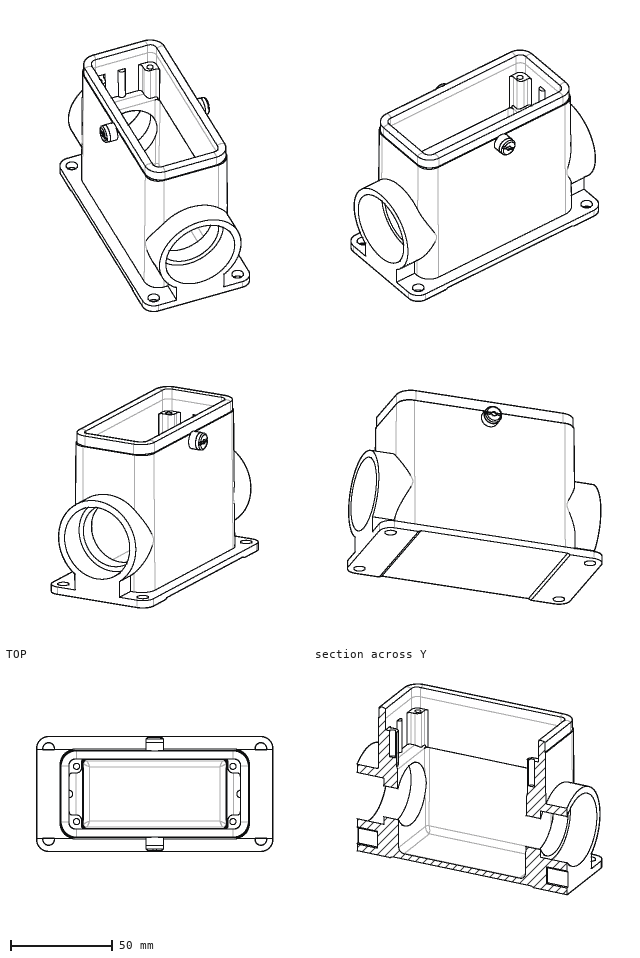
import cadquery as cq
import math

PLATE_LENGTH = 117.0
PLATE_WIDTH = 57.0
PLATE_THICKNESS = 3.9
PLATE_CORNER_RADIUS = 6.0
SCREW_HOLE_DIAMETER = 5.6
RELIEF_DEPTH = 0.7
RELIEF_LENGTH = 77.2
RELIEF_RAMP = 1.4

HOUSING_LENGTH = 94.4
HOUSING_WIDTH = 44.5
HOUSING_CORNER_RADIUS = 7.6
DRAFT_ANGLE = 0.5
SHOULDER_HEIGHT = 75.1
TOTAL_HEIGHT = 80.8
RIM_STEP = 0.5
RIM_CROWN = 0.7

OPENING_LENGTH = 85.1
OPENING_WIDTH = 34.7
OPENING_CORNER_RADIUS = 3.4
LEDGE_HEIGHT = 51.8
POCKET_LENGTH = 70.2
POCKET_WIDTH = 32.6
POCKET_DRAFT = 1.0
POCKET_CORNER_RADIUS = 1.2
POCKET_FILLET = 2.9
LEDGE_FILLET = 3.0
POCKET_FLOOR = PLATE_THICKNESS
POCKET_TOP = LEDGE_HEIGHT - LEDGE_FILLET

POST_TOP = 68.9
POST_X = 38.7
POST_Y = 13.7
POST_INNER_X = 36.3
POST_INNER_Y = 10.4
POST_CORNER_RADIUS = 2.5
POST_WALL_FILLET = 1.4
POST_WALL_EMBED = 1.4
POST_HOLE_DIAMETER = 3.0
POST_HOLE_DEPTH = 14.0
RIB_RADIUS = 1.9

ENTRY_HEIGHT = 30.0
ENTRY_DIAMETER = 43.9
ENTRY_BORE_DIAMETER = 37.0
ENTRY_BORE_DEPTH = 14.7
ENTRY_THROUGH_DIAMETER = 32.0
PEDESTAL_WIDTH = 25.3

PIN_HEIGHT = 70.9
PIN_DIAMETER = 8.8
PIN_HEAD_DIAMETER = 8.5
PIN_SHANK_REACH = 25.5
PIN_REACH = 28.0
PIN_CHAMFER = 0.7
PIN_SLOT_WIDTH = 1.0
PIN_SLOT_DEPTH = 0.77
PIN_CENTRE_DIAMETER = 2.2
FRONT_SLOT_ANGLE = 0
BACK_SLOT_ANGLE = 30

SIDES = (-1, 1)
CORNERS = [(sx, sy) for sx in SIDES for sy in SIDES]


def rounded_block(length, width, bottom, top, radius, taper=0.0):
    """Upright block centred on Z with rounded corners and an optional draft."""
    outline = cq.Sketch().rect(length, width).vertices().fillet(radius)
    return cq.Workplane("XY").workplane(offset=bottom).placeSketch(outline).extrude(top - bottom, taper=taper)


def mirrored_pair(shape, plane):
    """The shape together with its mirror image."""
    return shape.union(shape.mirror(plane))


def cylinder_x(diameter, start, end):
    """Cylinder on the cable entry axis between two X positions."""
    return (
        cq.Workplane("YZ")
        .workplane(offset=start)
        .center(0, ENTRY_HEIGHT)
        .circle(diameter / 2)
        .extrude(end - start)
    )


def base_plate():
    plate = rounded_block(PLATE_LENGTH, PLATE_WIDTH, 0, PLATE_THICKNESS, PLATE_CORNER_RADIUS)
    hole_x = PLATE_LENGTH / 2 - PLATE_CORNER_RADIUS
    hole_y = PLATE_WIDTH / 2 - PLATE_CORNER_RADIUS
    holes = (
        cq.Workplane("XY")
        .pushPoints([(sx * hole_x, sy * hole_y) for sx, sy in CORNERS])
        .circle(SCREW_HOLE_DIAMETER / 2)
        .extrude(PLATE_THICKNESS)
    )
    half_length = RELIEF_LENGTH / 2
    relief = (
        cq.Workplane("XZ")
        .polyline([
            (-half_length - RELIEF_RAMP, 0),
            (half_length + RELIEF_RAMP, 0),
            (half_length, RELIEF_DEPTH),
            (-half_length, RELIEF_DEPTH),
        ])
        .close()
        .extrude(PLATE_WIDTH / 2, both=True)
    )
    return plate.cut(holes).cut(relief)


def housing():
    """Drafted shell body with a stepped rim whose top is crowned."""
    height = SHOULDER_HEIGHT - PLATE_THICKNESS
    shrink = 2 * height * math.tan(math.radians(DRAFT_ANGLE))
    body = rounded_block(
        HOUSING_LENGTH, HOUSING_WIDTH, PLATE_THICKNESS, SHOULDER_HEIGHT, HOUSING_CORNER_RADIUS, DRAFT_ANGLE
    )
    body = body.faces(">Z").chamfer(RIM_STEP)
    rim_length = HOUSING_LENGTH - shrink - RIM_STEP
    rim_width = HOUSING_WIDTH - shrink - RIM_STEP
    rim = rounded_block(
        rim_length, rim_width, SHOULDER_HEIGHT - RIM_STEP, TOTAL_HEIGHT - RIM_CROWN, HOUSING_CORNER_RADIUS
    )
    return body.union(rim).union(rim_crown(rim_length, rim_width))


def rim_crown(rim_length, rim_width):
    """Low arched bead swept along the middle of the rim."""
    edge_height = TOTAL_HEIGHT - RIM_CROWN
    wall = (rim_width - OPENING_WIDTH) / 2
    middle_y = (rim_width + OPENING_WIDTH) / 4
    path = (
        cq.Workplane("XY")
        .workplane(offset=edge_height)
        .rect(rim_length - wall, 2 * middle_y)
        .extrude(1.2)
        .edges("|Z")
        .fillet(HOUSING_CORNER_RADIUS - wall / 2)
        .faces("<Z")
        .wires()
    )
    return (
        cq.Workplane("YZ")
        .moveTo(middle_y - wall / 2, edge_height)
        .threePointArc((middle_y, TOTAL_HEIGHT), (middle_y + wall / 2, edge_height))
        .close()
        .sweep(path, transition="round")
    )


def pocket():
    """Lower cavity, widening upwards from a rounded floor."""
    walls = rounded_block(
        POCKET_LENGTH, POCKET_WIDTH, POCKET_FLOOR, POCKET_TOP, POCKET_CORNER_RADIUS, -POCKET_DRAFT
    )
    return walls.faces("<Z").edges().fillet(POCKET_FILLET)


def ledge_profile():
    """Prism along Y whose lower flanks curve outwards onto the end ledges."""
    pocket_half = POCKET_LENGTH / 2 + (POCKET_TOP - POCKET_FLOOR) * math.tan(math.radians(POCKET_DRAFT))
    ledge_start = pocket_half + LEDGE_FILLET
    outer = HOUSING_LENGTH / 2
    return (
        cq.Workplane("XZ")
        .moveTo(-pocket_half, POCKET_TOP)
        .lineTo(pocket_half, POCKET_TOP)
        .radiusArc((ledge_start, LEDGE_HEIGHT), LEDGE_FILLET)
        .lineTo(outer, LEDGE_HEIGHT)
        .lineTo(outer, SHOULDER_HEIGHT)
        .lineTo(-outer, SHOULDER_HEIGHT)
        .lineTo(-outer, LEDGE_HEIGHT)
        .lineTo(-ledge_start, LEDGE_HEIGHT)
        .radiusArc((-pocket_half, POCKET_TOP), LEDGE_FILLET)
        .close()
        .extrude(HOUSING_WIDTH / 2, both=True)
    )


def cavity():
    """Straight mouth, drafted upper part ending on the ledges, and the pocket below."""
    mouth = rounded_block(
        OPENING_LENGTH, OPENING_WIDTH, SHOULDER_HEIGHT, TOTAL_HEIGHT, OPENING_CORNER_RADIUS
    )
    drafted = rounded_block(
        OPENING_LENGTH, OPENING_WIDTH, -SHOULDER_HEIGHT, -POCKET_TOP, OPENING_CORNER_RADIUS, DRAFT_ANGLE
    ).mirror("XY")
    return mouth.union(drafted.intersect(ledge_profile())).union(pocket())


def posts():
    """Four drilled screw posts blended into the cavity corners."""
    draft_inset = (SHOULDER_HEIGHT - POCKET_TOP) * math.tan(math.radians(DRAFT_ANGLE))
    wall_x = OPENING_LENGTH / 2 - draft_inset
    wall_y = OPENING_WIDTH / 2 - draft_inset
    embedded_x = wall_x + POST_WALL_EMBED
    embedded_y = wall_y + POST_WALL_EMBED
    fillet = POST_WALL_FILLET
    corner = POST_CORNER_RADIUS
    post = (
        cq.Workplane("XY")
        .workplane(offset=POCKET_TOP)
        .moveTo(embedded_x, POST_INNER_Y - fillet)
        .lineTo(wall_x, POST_INNER_Y - fillet)
        .radiusArc((wall_x - fillet, POST_INNER_Y), -fillet)
        .lineTo(POST_INNER_X + corner, POST_INNER_Y)
        .radiusArc((POST_INNER_X, POST_INNER_Y + corner), corner)
        .lineTo(POST_INNER_X, wall_y - fillet)
        .radiusArc((POST_INNER_X - fillet, wall_y), -fillet)
        .lineTo(POST_INNER_X - fillet, embedded_y)
        .lineTo(embedded_x, embedded_y)
        .close()
        .extrude(POST_TOP - POCKET_TOP)
    )
    hole = (
        cq.Workplane("XY")
        .workplane(offset=POST_TOP - POST_HOLE_DEPTH)
        .center(POST_X, POST_Y)
        .circle(POST_HOLE_DIAMETER / 2)
        .extrude(POST_HOLE_DEPTH)
    )
    pair = mirrored_pair(post.cut(hole), "YZ")
    return mirrored_pair(pair, "XZ")


def end_ribs():
    """Half-round rib in the middle of each end wall, rising from the ledge."""
    return (
        cq.Workplane("XY")
        .workplane(offset=LEDGE_HEIGHT)
        .pushPoints([(side * OPENING_LENGTH / 2, 0) for side in SIDES])
        .circle(RIB_RADIUS)
        .extrude(POST_TOP - LEDGE_HEIGHT)
    )


def entry_barrels():
    """Cable entry barrels and the pedestals that carry them."""
    half_length = PLATE_LENGTH / 2
    pedestal = (
        cq.Workplane("XY")
        .box(PLATE_LENGTH, PEDESTAL_WIDTH, ENTRY_HEIGHT - PLATE_THICKNESS)
        .translate((0, 0, (ENTRY_HEIGHT + PLATE_THICKNESS) / 2))
    )
    return cylinder_x(ENTRY_DIAMETER, -half_length, half_length).union(pedestal)


def entry_bores():
    half_length = PLATE_LENGTH / 2
    bores = cylinder_x(ENTRY_THROUGH_DIAMETER, -half_length, half_length)
    shoulder = half_length - ENTRY_BORE_DEPTH
    for start, end in ((-half_length, -shoulder), (shoulder, half_length)):
        bores = bores.union(cylinder_x(ENTRY_BORE_DIAMETER, start, end))
    return bores


def pin(slot_angle):
    """Slotted locking pin pointing towards -Y, starting inside the housing wall."""
    root = (OPENING_WIDTH + HOUSING_WIDTH) / 4
    shank = cq.Workplane("XZ").workplane(offset=root).circle(PIN_DIAMETER / 2).extrude(PIN_SHANK_REACH - root)
    head = (
        cq.Workplane("XZ")
        .workplane(offset=PIN_SHANK_REACH)
        .circle(PIN_HEAD_DIAMETER / 2)
        .extrude(PIN_REACH - PIN_SHANK_REACH)
        .faces("<Y")
        .chamfer(PIN_CHAMFER)
    )
    slot_floor = cq.Workplane("XZ").workplane(offset=PIN_REACH - PIN_SLOT_DEPTH)
    slot = (
        slot_floor.transformed(rotate=(0, 0, slot_angle))
        .rect(PIN_DIAMETER, PIN_SLOT_WIDTH)
        .extrude(PIN_SLOT_DEPTH)
    )
    centre = slot_floor.circle(PIN_CENTRE_DIAMETER / 2).extrude(PIN_SLOT_DEPTH)
    return shank.union(head).cut(slot).cut(centre).translate((0, 0, PIN_HEIGHT))


result = base_plate().union(housing()).union(entry_barrels())
result = result.cut(cavity()).union(posts()).union(end_ribs()).cut(entry_bores())
result = result.union(pin(FRONT_SLOT_ANGLE)).union(pin(BACK_SLOT_ANGLE).mirror("XZ"))